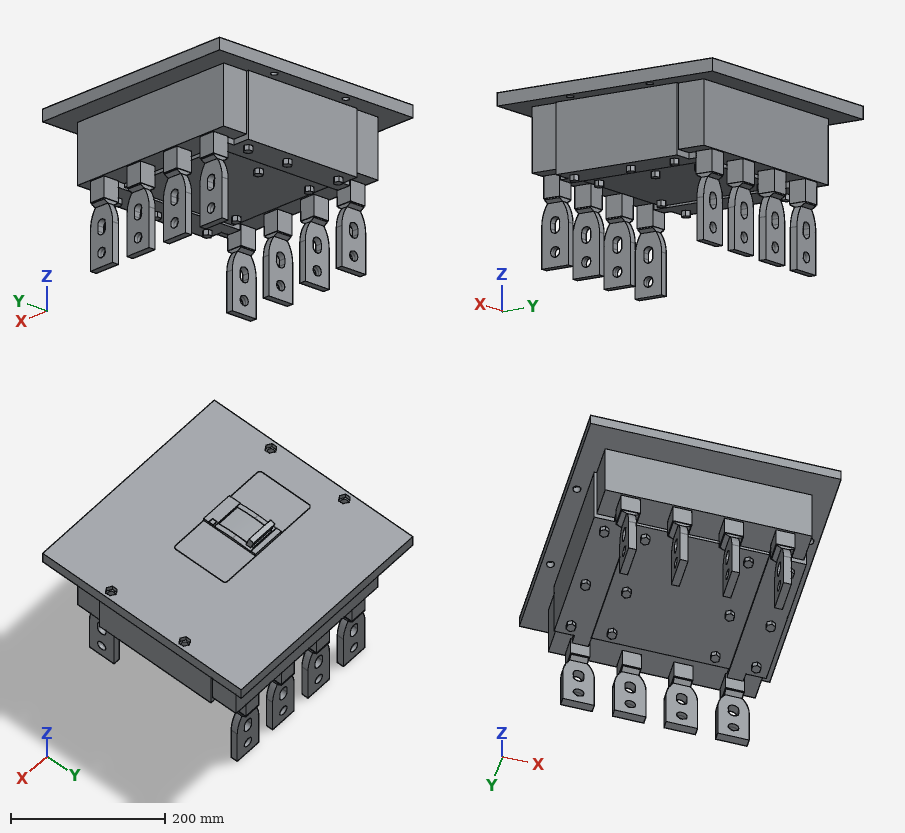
import cadquery as cq
import math

OVERLAP = 0.7

panel_x = 338.0
panel_y = 343.0
panel_thick = 18.0
screw_hole_dia = 10.0
screw_x = 157.0
screw_y = 63.5
hex_recess_flats = 14.0
hex_recess_depth = 7.0

pole_count = 4
pole_pitch = 69.5
pole_xs = [(i - (pole_count - 1) / 2) * pole_pitch for i in range(pole_count)]
terminal_y = 121.5

nose_x = pole_xs[1]
nose_y = -5.0
nose_width = 169.8
nose_length = 90.0
nose_corner = 4.5
nose_rise = 0.85

strip_width = 50.8
strip_top = 4.5
slot_half = 31.2
shoulder_crest = 5.0
shoulder_end = 3.5
guard_width = 36.5
guard_half = 30.0
guard_crest = 6.0
guard_end = 4.0
button_size = 7.5
button_depth = 1.0
button_edge_gap = 0.5
button_x = nose_x + strip_width / 2 - button_edge_gap - button_size / 2
button_y = -37.7

lever_width = 42.2
lever_thick = 8.0
lever_tilt = 20.0
lever_top = 20.2
lever_front_y = 25.0
lever_length = 19.0

core_half_x = 143.0
core_half_y = 96.5
core_bottom = -111.5
end_half_x = 139.5
end_half_y = 137.0
end_bottom = -106.5
rail_bottom = -114.5
rail_inner_x = 103.0
foot_half_y = 109.8
foot_width = 22.3

socket_size = 25.7
socket_bottom = -136.5
neck_size = 24.0
neck_bottom = -138.2
blade_top = -142.0
blade_thick = 10.5
blade_width = 42.5
blade_tangent = -170.8
blade_bottom = -228.0
blade_hole_dia = 14.0
slot_z = -172.0
slot_length = 22.0
hole_z = -208.0

bolt_flats = 11.3
bolt_height = 7.5
outer_bolt_x = 125.0
inner_bolt_x = pole_pitch
bolt_ys = [-79.5, 10.3, 80.0]


def block(x0, x1, y0, y1, z0, z1):
    """Axis-aligned box between two opposite corners."""
    return cq.Workplane("XY").box(x1 - x0, y1 - y0, z1 - z0, centered=False).translate((x0, y0, z0))


def centred_block(half_x, half_y, z0, z1):
    return block(-half_x, half_x, -half_y, half_y, z0, z1)


def hexagon(flats, height, x, y, z):
    """Upright hexagonal prism with flats facing X; z is its lower face."""
    across_corners = flats / math.cos(math.radians(30))
    prism = cq.Workplane("XY").polygon(6, across_corners).extrude(height)
    return prism.rotate((0, 0, 0), (0, 0, 1), 30).translate((x, y, z))


def make_nose(z0, z1):
    """Rounded block that fills the panel window."""
    body = block(
        nose_x - nose_width / 2, nose_x + nose_width / 2,
        nose_y - nose_length / 2, nose_y + nose_length / 2, z0, z1,
    )
    return body.edges("|Z").fillet(nose_corner)


def make_panel():
    panel = centred_block(panel_x / 2, panel_y / 2, -panel_thick, 0)
    panel = panel.cut(make_nose(-panel_thick, 0))
    for x in (-screw_x, screw_x):
        for y in (-screw_y, screw_y):
            hole = cq.Workplane("XY").circle(screw_hole_dia / 2).extrude(-panel_thick)
            panel = panel.cut(hole.translate((x, y, 0)))
            panel = panel.cut(hexagon(hex_recess_flats, hex_recess_depth, x, y, -hex_recess_depth))
    return panel


def extrude_across_pole(profile, width):
    """Extrude a YZ profile along X, centred on the lever's pole."""
    return profile.extrude(width / 2, both=True).translate((nose_x, 0, 0))


def make_strip():
    """Raised strip whose middle is a low ridge: sloped toward +Y, rounded toward -Y."""
    y0 = nose_y - nose_length / 2
    y1 = nose_y + nose_length / 2
    half_width = strip_width / 2
    strip = block(nose_x - half_width, nose_x + half_width, y0, y1, 0, strip_top)
    strip = strip.cut(block(nose_x - half_width, nose_x + half_width, -slot_half, slot_half, 0, strip_top))

    drop = shoulder_crest - shoulder_end
    ridge_radius = (slot_half**2 + drop**2) / (2 * drop)
    mid_y = -slot_half / 2
    mid_z = shoulder_crest - ridge_radius + math.sqrt(ridge_radius**2 - mid_y**2)
    ridge = (
        cq.Workplane("YZ").moveTo(slot_half, 0).lineTo(slot_half, shoulder_end).lineTo(0, shoulder_crest)
        .threePointArc((mid_y, mid_z), (-slot_half, shoulder_end)).lineTo(-slot_half, 0).close()
    )
    strip = strip.union(extrude_across_pole(ridge, strip_width))

    recess = cq.Workplane("XY").rect(button_size, button_size).extrude(-button_depth)
    return strip.cut(recess.translate((button_x, button_y, strip_top)))


def make_guard():
    """Rounded cover in the middle of the strip, in front of the lever."""
    guard = (
        cq.Workplane("YZ").moveTo(guard_half, 0).lineTo(guard_half, guard_end)
        .threePointArc((0, guard_crest), (-guard_half, guard_end)).lineTo(-guard_half, 0).close()
    )
    return extrude_across_pole(guard, guard_width)


def make_lever():
    """Flat lever leaning toward +Y, drawn upright from its front top corner and then tilted."""
    lever = block(-lever_width / 2, lever_width / 2, 0, lever_thick, -lever_length, 0)
    lever = lever.rotate((0, 0, 0), (1, 0, 0), -lever_tilt)
    return lever.translate((nose_x, lever_front_y, lever_top))


def make_housing():
    """Core and end blocks under the panel, with deeper rails along both sides."""
    top = -panel_thick
    housing = centred_block(core_half_x, core_half_y, core_bottom, top)
    housing = housing.union(centred_block(end_half_x, end_half_y, end_bottom, top))
    for side in (-1, 1):
        rail = block(rail_inner_x, core_half_x, -core_half_y, core_half_y, rail_bottom, end_bottom)
        foot_x = pole_xs[-1]
        foot = block(foot_x - foot_width / 2, foot_x + foot_width / 2,
                     -foot_half_y, foot_half_y, rail_bottom, end_bottom)
        rail = rail.union(foot)
        if side < 0:
            rail = rail.mirror("YZ")
        housing = housing.union(rail)
    return housing


def make_terminal():
    """Square socket, tapered neck and flat connection blade; the blade is broad along X."""
    half_socket = socket_size / 2
    half_neck = neck_size / 2
    half_thick = blade_thick / 2
    half_width = blade_width / 2
    socket = centred_block(half_socket, half_socket, socket_bottom, end_bottom + OVERLAP)

    neck_profile = [
        (-half_neck, socket_bottom + OVERLAP), (half_neck, socket_bottom + OVERLAP),
        (half_neck, neck_bottom), (half_thick, blade_top),
        (-half_thick, blade_top), (-half_neck, neck_bottom),
    ]
    neck = cq.Workplane("YZ").polyline(neck_profile).close().extrude(half_neck, both=True)

    rise = blade_top - blade_tangent
    flare = half_width - half_neck
    radius = (rise**2 + flare**2) / (2 * flare)
    mid_angle = math.asin(rise / radius) / 2
    mid_x = half_width - radius * (1 - math.cos(mid_angle))
    mid_z = blade_tangent + radius * math.sin(mid_angle)
    blade = (
        cq.Workplane("XZ").moveTo(-half_neck, blade_top).lineTo(half_neck, blade_top)
        .threePointArc((mid_x, mid_z), (half_width, blade_tangent))
        .lineTo(half_width, blade_bottom).lineTo(-half_width, blade_bottom)
        .lineTo(-half_width, blade_tangent)
        .threePointArc((-mid_x, mid_z), (-half_neck, blade_top)).close()
        .extrude(half_thick, both=True)
    )
    slot = (
        cq.Workplane("XZ").center(0, slot_z).slot2D(slot_length, blade_hole_dia, 90)
        .extrude(blade_thick, both=True)
    )
    hole = (
        cq.Workplane("XZ").center(0, hole_z).circle(blade_hole_dia / 2)
        .extrude(blade_thick, both=True)
    )
    return socket.union(neck).union(blade.cut(slot).cut(hole))


def make_breaker():
    breaker = make_housing()
    breaker = breaker.union(make_nose(-panel_thick - OVERLAP, nose_rise))
    breaker = breaker.union(make_strip()).union(make_guard()).union(make_lever())

    broad_along_x = make_terminal()
    broad_along_y = broad_along_x.rotate((0, 0, 0), (0, 0, 1), 90)
    for x in pole_xs:
        breaker = breaker.union(broad_along_x.translate((x, terminal_y, 0)))
        breaker = breaker.union(broad_along_y.translate((x, -terminal_y, 0)))

    for y in bolt_ys:
        for side in (-1, 1):
            for x, seat in ((outer_bolt_x, rail_bottom), (inner_bolt_x, core_bottom)):
                bolt = hexagon(bolt_flats, bolt_height + OVERLAP, side * x, y, seat - bolt_height)
                breaker = breaker.union(bolt)
    return breaker


panel = make_panel()
breaker = make_breaker()
result = cq.Compound.makeCompound([panel.val(), breaker.val()])